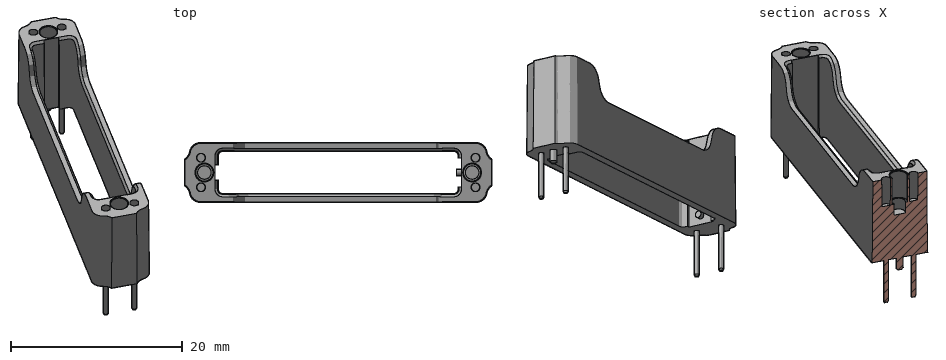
import cadquery as cq
import math

LENGTH = 35.8
WIDTH = 7.0
HEIGHT = 10.9
DRAFT = 0.5

FLAT_END_WIDTH = 3.08
SIDE_LENGTH = 32.05
CORNER_MID_X = 17.3
CORNER_MID_Y = 2.45

CAVITY_LENGTH = 28.1
CAVITY_WIDTH = 5.1
CAVITY_CORNER = 0.6
RIM_CHAMFER = 0.3
RECESS_END = 14.32
LEFT_RECESS_WIDTH = 1.8
RIGHT_RECESS_WIDTH = 3.33

KEY_DIAMETER = 0.8
KEY_TIP_X = 13.75
KEY_LENGTH = 0.93
KEY_HEIGHT = 1.07

NOTCH_DEPTH = 3.75
NOTCH_RADIUS = 1.9
NOTCH_ANGLE = 74.0
NOTCH_TOP_LENGTH = 27.0

BORE_X = 15.58
BORE_DIAMETER = 2.0
BORE_DEPTH = 3.58
BORE_CHAMFER = 0.09
PILOT_DIAMETER = 1.58
PILOT_DEPTH = 5.0
HOLE_DIAMETER = 1.05
HOLE_DEPTH = 3.58

PIN_X = 15.97
PIN_Y = 1.72
PIN_DIAMETER = 0.6
PIN_LENGTH = 5.62
PIN_TIP_HEIGHT = 0.2
PIN_TIP_INSET = 0.1
PEG_DIAMETER = 0.85
PEG_LENGTH = 1.6
PEG_TIP = 0.2

PIN_PLACES = [(x, y) for x in (-PIN_X, PIN_X) for y in (-PIN_Y, PIN_Y)]


def arc_middle(start, end, turn):
    """Middle point of the arc that turns left by `turn` radians from start to end."""
    half_x = (end[0] - start[0]) / 2
    half_y = (end[1] - start[1]) / 2
    bulge = math.tan(turn / 4)
    return start[0] + half_x + bulge * half_y, start[1] + half_y - bulge * half_x


def drafted_block():
    side_end = (SIDE_LENGTH / 2, WIDTH / 2)
    middle = (CORNER_MID_X, CORNER_MID_Y)
    flat_end = (LENGTH / 2, FLAT_END_WIDTH / 2)

    convex_turn = 2 * math.atan2(side_end[1] - middle[1], middle[0] - side_end[0])
    concave_chord = math.atan2(middle[1] - flat_end[1], flat_end[0] - middle[0])
    concave_turn = 2 * (convex_turn - concave_chord)
    corner = [
        side_end,
        arc_middle(side_end, middle, -convex_turn),
        middle,
        arc_middle(middle, flat_end, concave_turn),
        flat_end,
    ]

    outline = cq.Workplane("XY").moveTo(-side_end[0], side_end[1])
    for side_x, side_y in ((1, 1), (1, -1), (-1, -1), (-1, 1)):
        path = corner if side_x == side_y else corner[::-1]
        start, first_mid, middle, second_mid, end = [(side_x * x, side_y * y) for x, y in path]
        outline = outline.lineTo(*start).threePointArc(first_mid, middle).threePointArc(second_mid, end)
    return outline.close().extrude(HEIGHT, taper=DRAFT)


def notched_block():
    slope = math.radians(NOTCH_ANGLE)
    setback = NOTCH_RADIUS * math.tan(slope / 2)
    top = NOTCH_TOP_LENGTH / 2 - setback
    bottom = top - NOTCH_DEPTH / math.tan(slope)
    floor = HEIGHT - NOTCH_DEPTH
    profile = [(-top, HEIGHT), (top, HEIGHT), (bottom, floor), (-bottom, floor)]
    notch = cq.Workplane("XZ").polyline(profile).close().extrude(WIDTH, both=True)
    block = drafted_block().cut(notch)
    for x, z in profile:
        block = block.edges(cq.NearestToPointSelector((x, 0, z))).fillet(NOTCH_RADIUS)
    return block


def cavity():
    return (
        cq.Workplane("XY", origin=(0, 0, HEIGHT))
        .sketch()
        .rect(CAVITY_LENGTH, CAVITY_WIDTH)
        .vertices()
        .fillet(CAVITY_CORNER)
        .finalize()
        .extrude(-HEIGHT, taper=DRAFT)
    )


def end_recess(side, width):
    return cq.Workplane("XY").center(side * RECESS_END / 2, 0).rect(RECESS_END, width).extrude(HEIGHT)


def blind_hole(x, y, diameter, depth, taper=0.0):
    return cq.Workplane("XY", origin=(x, y, HEIGHT)).circle(diameter / 2).extrude(-depth, taper=taper)


def stepped_bore(x):
    mouth = cq.Solid.makeCone(
        BORE_DIAMETER / 2 + BORE_CHAMFER,
        BORE_DIAMETER / 2,
        BORE_CHAMFER,
        cq.Vector(x, 0, HEIGHT),
        cq.Vector(0, 0, -1),
    )
    bore = blind_hole(x, 0, BORE_DIAMETER, BORE_DEPTH)
    return bore.union(blind_hole(x, 0, PILOT_DIAMETER, PILOT_DEPTH)).union(mouth)


def stud(x, y, diameter, length, tip_height, tip_inset):
    stem = cq.Workplane("XY", origin=(x, y, 0)).circle(diameter / 2).extrude(-length)
    return stem.faces("<Z").chamfer(tip_height, tip_inset)


def key():
    return cq.Workplane("YZ", origin=(KEY_TIP_X, 0, KEY_HEIGHT)).circle(KEY_DIAMETER / 2).extrude(KEY_LENGTH)


housing = notched_block().cut(cavity())
housing = housing.edges(cq.NearestToPointSelector((CAVITY_LENGTH / 2, 0, HEIGHT))).chamfer(RIM_CHAMFER)
housing = housing.cut(end_recess(-1, LEFT_RECESS_WIDTH)).cut(end_recess(1, RIGHT_RECESS_WIDTH))

for bore_x in (-BORE_X, BORE_X):
    housing = housing.cut(stepped_bore(bore_x))

for x, y in PIN_PLACES:
    housing = housing.cut(blind_hole(x, y, HOLE_DIAMETER, HOLE_DEPTH, DRAFT))
    housing = housing.union(stud(x, y, PIN_DIAMETER, PIN_LENGTH, PIN_TIP_HEIGHT, PIN_TIP_INSET))

housing = housing.union(stud(-PIN_X, 0, PEG_DIAMETER, PEG_LENGTH, PEG_TIP, PEG_TIP))
result = housing.union(key())